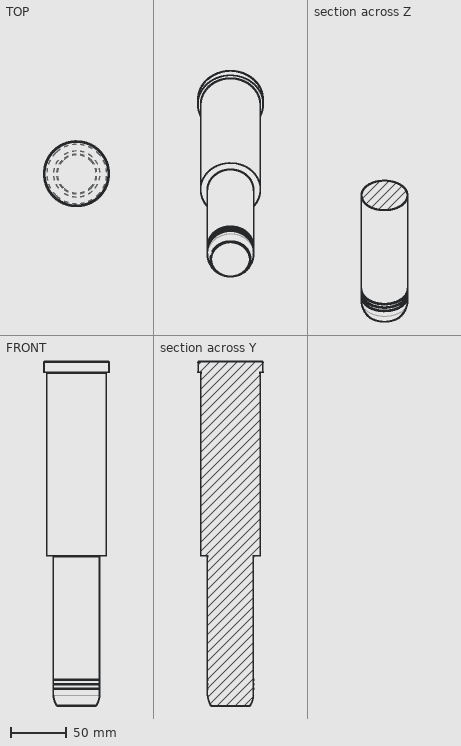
import cadquery as cq

total_length = 311.0
head_height = 10.0
shoulder_z = 135.5
nose_height = 10.0

head_diameter = 59.0
body_diameter = 54.0
pin_diameter = 42.0
tip_diameter = 36.5

head_chamfer = 1.0
tip_chamfer = 1.0
nose_bulge = 0.5

groove_count = 3
groove_width = 1.0
groove_depth = 0.3
lowest_groove_z = 16.0
groove_pitch = 4.0


def cylinder(diameter, bottom_z, top_z):
    """Solid cylinder on the Z axis between two heights."""
    return cq.Workplane("XY").workplane(offset=bottom_z).circle(diameter / 2).extrude(top_z - bottom_z)


def make_nose():
    """Lead-in nose with a slightly convex flank and a chamfered tip."""
    pin_radius = pin_diameter / 2
    tip_radius = tip_diameter / 2
    flank_middle = (
        (pin_radius + tip_radius) / 2 + nose_bulge,
        (nose_height + tip_chamfer) / 2,
    )
    profile = (
        cq.Workplane("XZ")
        .lineTo(tip_radius - tip_chamfer, 0)
        .lineTo(tip_radius, tip_chamfer)
        .threePointArc(flank_middle, (pin_radius, nose_height))
        .lineTo(0, nose_height)
        .close()
    )
    return profile.revolve(360, (0, 0, 0), (0, 1, 0))


def make_groove(shaft_diameter, center_z):
    """Ring of material to remove around a shaft."""
    bottom_z = center_z - groove_width / 2
    top_z = center_z + groove_width / 2
    outer = cylinder(head_diameter, bottom_z, top_z)
    core = cylinder(shaft_diameter - 2 * groove_depth, bottom_z, top_z)
    return outer.cut(core)


head_bottom_z = total_length - head_height
head = cylinder(head_diameter, head_bottom_z, total_length).faces(">Z").edges().chamfer(head_chamfer)
body = cylinder(body_diameter, shoulder_z, head_bottom_z)
pin = cylinder(pin_diameter, nose_height, shoulder_z)

body = body.cut(make_groove(body_diameter, head_bottom_z - groove_width / 2))
pin = pin.cut(make_groove(pin_diameter, shoulder_z - groove_width / 2))

for index in range(groove_count):
    pin = pin.cut(make_groove(pin_diameter, lowest_groove_z + index * groove_pitch))

result = head.union(body).union(pin).union(make_nose())